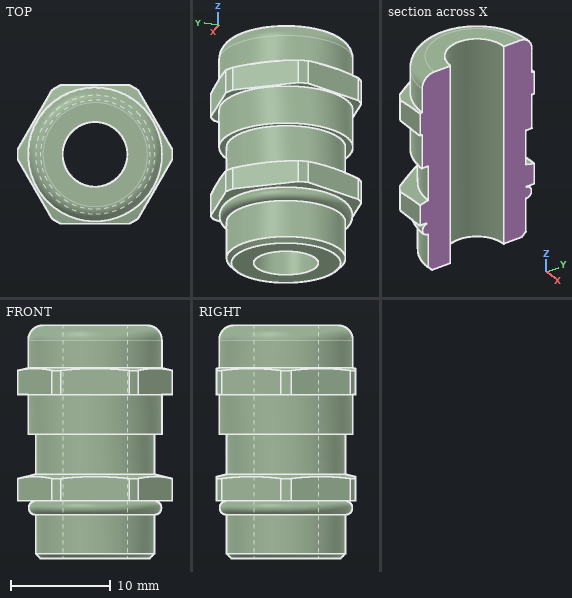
import cadquery as cq
import math

total_height = 23.5
lower_hex_top = 8.5
sleeve_bottom = 12.5
upper_hex_bottom = 16.5

bore_diameter = 6.5
thread_diameter = 12.0
thread_end_chamfer = 0.5
cap_diameter = 13.5
cap_edge_radius = 1.5

hex_height = 2.7
hex_across_flats = 14.0
hex_corner_diameter = 15.6
hex_chamfer_angle = 14.0

seal_height = 1.4

lower_hex_bottom = lower_hex_top - hex_height


def cylinder(diameter, bottom, top):
    """Vertical cylinder between two heights."""
    return cq.Workplane("XY").workplane(offset=bottom).circle(diameter / 2).extrude(top - bottom)


def hex_collar(bottom, cone_diameter):
    """Hexagon with flats facing +/-Y, turned corners and a conical top starting at cone_diameter."""
    corner_radius = hex_corner_diameter / 2
    cone_radius = cone_diameter / 2
    cone_drop = (corner_radius - cone_radius) * math.tan(math.radians(hex_chamfer_angle))
    across_corners = hex_across_flats / math.cos(math.pi / 6)
    prism = cq.Workplane("XY").workplane(offset=bottom).polygon(6, across_corners).extrude(hex_height)
    top = bottom + hex_height
    turned_blank = (
        cq.Workplane("XZ")
        .moveTo(0, bottom)
        .lineTo(corner_radius, bottom)
        .lineTo(corner_radius, top - cone_drop)
        .lineTo(cone_radius, top)
        .lineTo(0, top)
        .close()
        .revolve(360, (0, 0), (0, 1))
    )
    return prism.intersect(turned_blank)


def threaded_body():
    """Plain cylinder with a chamfered lower end, reaching up into the cap."""
    return cylinder(thread_diameter, 0, upper_hex_bottom).faces("<Z").chamfer(thread_end_chamfer)


def cap():
    """Sleeve and domed head, running through the upper hexagon."""
    return cylinder(cap_diameter, sleeve_bottom, total_height).faces(">Z").edges().fillet(cap_edge_radius)


def seal_ring():
    """Half-round ring on the thread cylinder, touching the underside of the lower hexagon."""
    section_radius = seal_height / 2
    thread_radius = thread_diameter / 2
    return (
        cq.Workplane("XZ")
        .moveTo(0, lower_hex_bottom - seal_height)
        .lineTo(thread_radius, lower_hex_bottom - seal_height)
        .threePointArc(
            (thread_radius + section_radius, lower_hex_bottom - section_radius),
            (thread_radius, lower_hex_bottom),
        )
        .lineTo(0, lower_hex_bottom)
        .close()
        .revolve(360, (0, 0), (0, 1))
    )


outer = (
    threaded_body()
    .union(cap())
    .union(hex_collar(lower_hex_bottom, thread_diameter))
    .union(hex_collar(upper_hex_bottom, cap_diameter))
    .union(seal_ring())
)
result = outer.cut(cylinder(bore_diameter, 0, total_height))